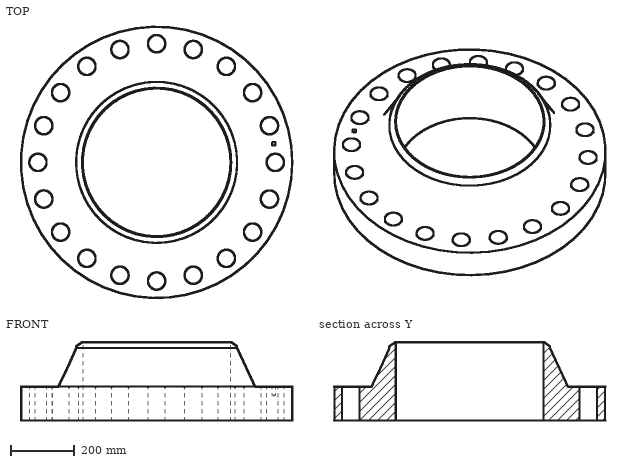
import cadquery as cq
import math

flange_diameter = 857.0
flange_thickness = 107.0

total_height = 248.0
hub_base_diameter = 622.0
neck_diameter = 508.0
neck_height = 18.0
bore_diameter = 466.0

hub_foot_rounding = 4.0
bevel_rounding = 3.0

bevel_height = 13.0
land_diameter = 471.0

bolt_count = 20
bolt_circle_diameter = 749.0
bolt_hole_diameter = 54.0

pin_hole_diameter = 12.0
pin_hole_depth = 26.0
drill_tip_angle = 118
pin_hole_angle = 360 / bolt_count / 2


def make_body():
    """Revolve the flange, hub and neck half-section about Z."""
    bore_radius = bore_diameter / 2
    flange_radius = flange_diameter / 2
    neck_radius = neck_diameter / 2
    section = (
        cq.Workplane("XZ")
        .moveTo(bore_radius, 0)
        .lineTo(flange_radius, 0)
        .lineTo(flange_radius, flange_thickness)
        .lineTo(hub_base_diameter / 2, flange_thickness)
        .lineTo(neck_radius, total_height - neck_height)
        .lineTo(neck_radius, total_height - bevel_height)
        .lineTo(land_diameter / 2, total_height)
        .lineTo(bore_radius, total_height)
        .close()
    )
    return section.revolve(360, (0, 0, 0), (0, 1, 0))


def round_circle(body, height, radius):
    """Fillet the smallest-diameter circle lying at the given height."""
    tolerance = 0.1
    circles = body.edges("%CIRCLE").filter(lambda edge: abs(edge.Center().z - height) < tolerance)
    return circles.edges(cq.selectors.RadiusNthSelector(0)).fillet(radius)


def round_edges(body):
    """Round the foot of the hub and the outer edge of the weld bevel."""
    body = round_circle(body, flange_thickness, hub_foot_rounding)
    return round_circle(body, total_height - bevel_height, bevel_rounding)


def cut_bolt_holes(body):
    """Cut the ring of through holes, the first one on +X."""
    holes = (
        cq.Workplane("XY")
        .polarArray(bolt_circle_diameter / 2, 0, 360, bolt_count)
        .circle(bolt_hole_diameter / 2)
        .extrude(flange_thickness)
    )
    return body.cut(holes)


def cut_pin_hole(body):
    """Drill the small blind hole, with a conical tip, on the bolt circle."""
    radius = pin_hole_diameter / 2
    tip_height = radius / math.tan(math.radians(drill_tip_angle / 2))
    drill = (
        cq.Workplane("XZ")
        .lineTo(radius, 0)
        .lineTo(radius, -pin_hole_depth)
        .lineTo(0, -pin_hole_depth - tip_height)
        .close()
        .revolve(360, (0, 0, 0), (0, 1, 0))
    )
    drill = drill.translate((bolt_circle_diameter / 2, 0, flange_thickness))
    return body.cut(drill.rotate((0, 0, 0), (0, 0, 1), pin_hole_angle))


result = cut_pin_hole(cut_bolt_holes(round_edges(make_body())))